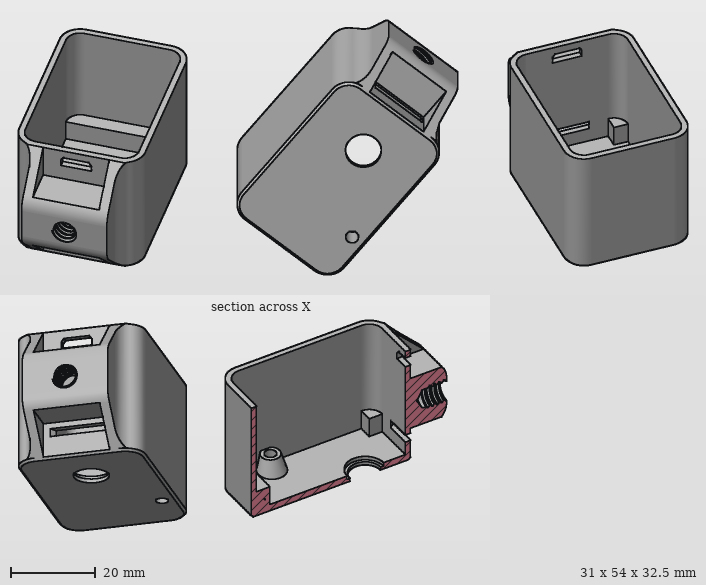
import cadquery as cq
import math

width = 31.0
length = 54.0
height = 32.5
lug_reach = 10.0
wall = 1.5
floor = 2.0
corner_radius = 5.0
bottom_chamfer = 0.6
box_length = length - lug_reach
box_mid_y = lug_reach + box_length / 2
inner_width = width - 2 * wall
inner_length = box_length - 2 * wall
inner_front = lug_reach + wall
inner_back = length - wall
inner_radius = corner_radius - wall

ledge_top = 7.25
ledge_depth = 3.6
block_size = 3.6

lug_width = 20.95
lug_edge_radius = 5.0
flare_radius = 5.0
face_low = bottom_chamfer + lug_reach
face_high = height - lug_reach
lug_mid_z = (face_low + face_high) / 2
slope_tangent = lug_edge_radius * math.tan(math.radians(22.5)) * math.sin(math.radians(45))
pocket_width = 16.25

port_width = 7.45
port_bottom = 27.95
port_top = 30.45
port_bevel_x = 0.65
port_bevel_z = 0.85
slot_x = 0.6
slot_outer_width = 14.2
slot_inner_width = 12.1
slot_bottom = 5.65
slot_top = 7.65

button_y = 22.5
button_diameter = 8.4
button_recess_diameter = 10.0
button_recess_depth = 1.0
boss_x = 11.9
boss_y = 41.45
boss_top = 6.35
boss_hole_diameter = 3.0
boss_top_radius = 2.51
boss_base_radius = 3.65
boss_base_shift = 0.7

thread_minor_radius = 2.62
thread_major_radius = 3.2
thread_pitch = 1.3
thread_mouth_width = 1.1
thread_crest_width = 0.15
thread_overlap = 0.1
thread_depth = 5.95
thread_start_angle = 60.0
hole_depth = 6.75
hole_point_depth = 1.5


def block(x_size, y_min, y_max, z_min, z_max, x_mid=0):
    """Box given by its width about x_mid and its Y and Z limits."""
    size = (x_size, y_max - y_min, z_max - z_min)
    return cq.Workplane("XY").box(*size, centered=(True, False, False)).translate((x_mid, y_min, z_min))


def cylinder(x, y, z_min, z_max, diameter):
    disc = cq.Workplane("XY").workplane(offset=z_min).center(x, y).circle(diameter / 2)
    return disc.extrude(z_max - z_min)


def outer_box():
    body = block(width, lug_reach, length, 0, height).edges("|Z").fillet(corner_radius)
    return body.faces("<Z").chamfer(bottom_chamfer)


def cavity():
    space = block(inner_width, inner_front, inner_back, floor, height)
    return space.edges("|Z").fillet(inner_radius)


def lug():
    """Plan with concave flares into the box corners, cut to the sloped side profile."""
    half = lug_width / 2
    corner_x = width / 2 - corner_radius
    corner_y = lug_reach + corner_radius
    flare_x = half + flare_radius
    reach = corner_radius + flare_radius
    flare_y = corner_y - math.sqrt(reach**2 - (flare_x - corner_x) ** 2)
    share = flare_radius / reach
    tangent_x = flare_x + share * (corner_x - flare_x)
    tangent_y = flare_y + share * (corner_y - flare_y)
    sweep_angle = math.atan2(tangent_y - flare_y, flare_x - tangent_x)
    middle_x = flare_x - flare_radius * math.cos(sweep_angle / 2)
    middle_y = flare_y + flare_radius * math.sin(sweep_angle / 2)
    plan = (
        cq.Workplane("XY")
        .moveTo(-half, 0)
        .lineTo(half, 0)
        .lineTo(half, flare_y)
        .threePointArc((middle_x, middle_y), (tangent_x, tangent_y))
        .lineTo(-tangent_x, tangent_y)
        .threePointArc((-middle_x, middle_y), (-half, flare_y))
        .close()
        .extrude(height)
    )
    profile = (
        cq.Workplane("YZ")
        .polyline([
            (0, face_low),
            (lug_reach, bottom_chamfer),
            (corner_y, bottom_chamfer),
            (corner_y, height),
            (lug_reach, height),
            (0, face_high),
        ])
        .close()
        .extrude(width / 2, both=True)
        .faces("<Y")
        .edges("|X")
        .fillet(lug_edge_radius)
    )
    return plan.intersect(profile)


def lug_pockets():
    """Upper and lower pockets, level with the ends of the rounded lug edges."""
    upper = block(pocket_width, 0, lug_reach, face_high + slope_tangent, height)
    lower = block(pocket_width, 0, lug_reach, 0, face_low - slope_tangent)
    return upper.union(lower)


def port():
    half = port_width / 2
    bevel_start = port_top - port_bevel_z
    return (
        cq.Workplane("XZ", origin=(0, lug_reach, 0))
        .polyline([
            (-half, port_bottom),
            (half, port_bottom),
            (half, bevel_start),
            (half - port_bevel_x, port_top),
            (-half + port_bevel_x, port_top),
            (-half, bevel_start),
        ])
        .close()
        .extrude(-wall)
    )


def slot():
    """Opening whose ends taper inward through the wall."""
    return (
        cq.Workplane("XY", origin=(slot_x, 0, slot_bottom))
        .polyline([
            (-slot_outer_width / 2, lug_reach),
            (slot_outer_width / 2, lug_reach),
            (slot_inner_width / 2, inner_front),
            (-slot_inner_width / 2, inner_front),
        ])
        .close()
        .extrude(slot_top - slot_bottom)
    )


def cavity_supports():
    """Back ledge, front corner blocks and the leaning conical boss, bounded by the cavity walls."""
    supports = block(inner_width, inner_back - ledge_depth, inner_back, floor, ledge_top)
    for side in (-1, 1):
        block_x = side * (inner_width - block_size) / 2
        supports = supports.union(
            block(block_size, inner_front, inner_front + block_size, floor, ledge_top, block_x)
        )
    boss = (
        cq.Workplane("XY", origin=(boss_x - boss_base_shift, boss_y, floor))
        .circle(boss_base_radius)
        .workplane(offset=boss_top - floor)
        .center(boss_base_shift, 0)
        .circle(boss_top_radius)
        .loft()
    )
    return supports.union(boss).intersect(cavity())


def threaded_hole():
    """Drilled hole with a conical point and a V thread, built along Z then turned to +Y."""
    drill = (
        cq.Workplane("XZ")
        .polyline([
            (0, 0),
            (thread_minor_radius, 0),
            (thread_minor_radius, hole_depth),
            (0, hole_depth + hole_point_depth),
        ])
        .close()
        .revolve(360, (0, 0, 0), (0, 1, 0))
    )
    root_radius = thread_minor_radius - thread_overlap
    half_mouth = thread_mouth_width / 2
    half_crest = thread_crest_width / 2
    helix = cq.Wire.makeHelix(thread_pitch, thread_depth + thread_pitch, root_radius)
    groove = (
        cq.Workplane("XZ")
        .polyline([
            (root_radius, -half_mouth),
            (thread_major_radius, -half_crest),
            (thread_major_radius, half_crest),
            (root_radius, half_mouth),
        ])
        .close()
        .sweep(cq.Workplane(helix), isFrenet=True)
        .translate((0, 0, -thread_pitch))
        .rotate((0, 0, 0), (0, 0, 1), thread_start_angle)
    )
    cutter = drill.union(groove)
    return cutter.rotate((0, 0, 0), (1, 0, 0), -90).translate((0, 0, lug_mid_z))


body = outer_box().union(lug().cut(lug_pockets())).cut(cavity()).union(cavity_supports())
body = body.cut(port()).cut(slot())
body = body.cut(cylinder(0, button_y, 0, floor, button_diameter))
body = body.cut(cylinder(0, button_y, floor - button_recess_depth, floor, button_recess_diameter))
body = body.cut(cylinder(boss_x, boss_y, 0, boss_top, boss_hole_diameter))
result = body.cut(threaded_hole())